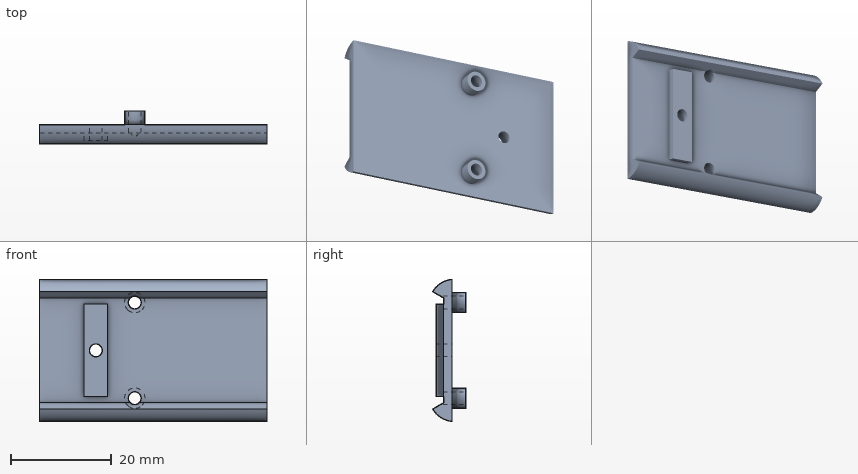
import cadquery as cq
import math

length = 45.2
height = 28.25
total_depth = 6.6
boss_length = 2.75
rail_depth = total_depth - boss_length
plate_thickness = 1.65

lip_half_height = 11.65
undercut_angle = 30.0
rail_radius = 5.0

pad_width = 4.65
pad_height = 18.4
pad_thickness = 1.5
pad_offset = 11.2

boss_diameter = 4.05
boss_offset = 18.925
boss_pitch = 19.0

hole_diameter = 2.5

left_end = -length / 2
pad_x = left_end + pad_offset
boss_x = left_end + boss_offset
boss_places = [(boss_x, side * boss_pitch / 2) for side in (-1, 1)]
hole_places = [(pad_x, 0)] + boss_places


def rail_arc_middle(start, end):
    """Middle point of the rail's outer arc, bulging away from the plate."""
    chord_y = end[0] - start[0]
    chord_z = end[1] - start[1]
    chord = math.hypot(chord_y, chord_z)
    bulge = rail_radius - math.sqrt(rail_radius**2 - (chord / 2) ** 2)
    middle_y = (start[0] + end[0]) / 2 + bulge * chord_z / chord
    middle_z = (start[1] + end[1]) / 2 - bulge * chord_y / chord
    return middle_y, middle_z


def mirrored(point):
    """Same point on the lower half of the section."""
    return point[0], -point[1]


def make_railed_plate():
    """Extrude the plate and both rails as one section along X."""
    undercut_rise = (rail_depth - plate_thickness) * math.tan(math.radians(undercut_angle))
    edge = (0, height / 2)
    tip = (-rail_depth, lip_half_height)
    root = (-plate_thickness, lip_half_height - undercut_rise)
    arc_middle = rail_arc_middle(edge, tip)
    return (
        cq.Workplane("YZ", origin=(left_end, 0, 0))
        .moveTo(*edge)
        .threePointArc(arc_middle, tip)
        .lineTo(*root)
        .lineTo(*mirrored(root))
        .lineTo(*mirrored(tip))
        .threePointArc(mirrored(arc_middle), mirrored(edge))
        .close()
        .extrude(length)
    )


def make_pad():
    """Rectangular pad, reaching from the back face to its front surface."""
    return (
        cq.Workplane("XZ")
        .center(pad_x, 0)
        .rect(pad_width, pad_height)
        .extrude(plate_thickness + pad_thickness)
    )


def make_bosses():
    """Round bosses standing on the back face."""
    return (
        cq.Workplane("XZ")
        .pushPoints(boss_places)
        .circle(boss_diameter / 2)
        .extrude(-boss_length)
    )


def make_holes():
    """Cutters through the pad and through both bosses."""
    return (
        cq.Workplane("XZ")
        .pushPoints(hole_places)
        .circle(hole_diameter / 2)
        .extrude(total_depth, both=True)
    )


result = make_railed_plate().union(make_pad()).union(make_bosses()).cut(make_holes())